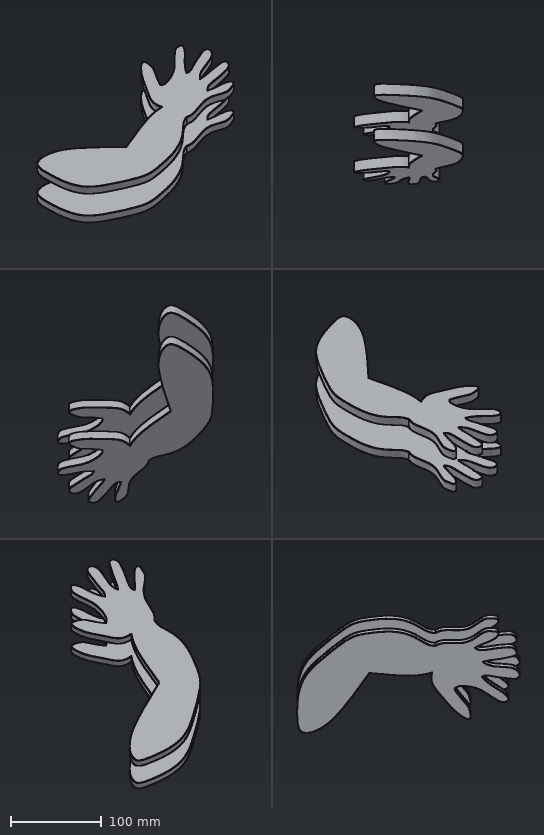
import cadquery as cq

LENGTH = 237.2
WIDTH = 152.7
PLATE_THICKNESS = 12.8
PLATE_PITCH = 50.8
PLATE_COUNT = 2
EDGE_CHAMFER = 0.5

ELBOW = (80.5, 73.3)
INNER_WRIST = (93.0, 140.6)
OUTER_WRIST = (124.5, 139.0)

THUMB_WEB = (79.2, 169.0)
INDEX_WEB = (98.7, 196.5)
MIDDLE_WEB = (115.5, 195.0)
RING_WEB = (130.0, 183.3)

FOREARM_INNER = [ELBOW, (81.8, 90.1), (83.7, 108.0), (86.8, 124.5), INNER_WRIST]

THUMB = [
    INNER_WRIST, (86.5, 141.3), (81.0, 143.2), (74.7, 148.5), (65.2, 159.8), (55.5, 171.5),
    (49.3, 182.5), (47.7, 188.3), (48.1, 191.2), (50.8, 192.0), (55.5, 191.0),
    (61.2, 188.0), (69.0, 179.8), (76.4, 171.7), THUMB_WEB,
]

INDEX_FINGER = [
    THUMB_WEB, (81.8, 171.2), (84.0, 177.0), (84.2, 192.0), (82.8, 198.3), (78.3, 208.5),
    (74.5, 218.2), (73.5, 224.0), (77.8, 230.0), (83.2, 225.3), (87.5, 216.5),
    (92.3, 205.9), (96.0, 199.7), INDEX_WEB,
]

MIDDLE_FINGER = [
    INDEX_WEB, (100.3, 199.7), (100.8, 208.2), (101.5, 226.5), (102.7, 233.8), (106.7, LENGTH),
    (112.7, 233.4), (114.5, 226.5), (113.8, 216.8), (113.0, 207.5), (113.5, 199.7), MIDDLE_WEB,
]

RING_FINGER = [
    MIDDLE_WEB, (117.5, 198.7), (121.2, 210.0), (125.7, 221.7), (131.5, 229.3), (136.5, 225.8),
    (136.8, 216.8), (133.8, 205.9), (130.0, 195.2), (128.5, 187.4), RING_WEB,
]

LITTLE_FINGER = [
    RING_WEB, (135.5, 190.5), (141.8, 200.0), (146.0, 204.2), (150.1, 205.5), (152.3, 204.0),
    (152.5, 200.2), (150.8, 191.6), (143.2, 182.5), (137.5, 176.5), (133.3, 168.1),
    (131.0, 156.3), (128.5, 145.5), OUTER_WRIST,
]

UPPER_ARM = [
    OUTER_WRIST, (124.7, 130.5), (128.5, 119.8), (131.9, 108.0), (132.5, 94.9), (130.5, 80.2),
    (126.2, 65.2), (119.3, 48.9), (107.7, 35.5), (90.0, 20.5), (74.0, 8.8), (61.2, 2.5),
    (42.7, 0.0), (15.5, 3.5), (6.0, 6.5), (0.7, 10.7), (0.2, 16.5), (6.0, 28.7),
    (20.9, 43.0), (32.5, 50.0), (51.7, 60.0), ELBOW,
]

STRETCHES = [
    FOREARM_INNER,
    THUMB,
    INDEX_FINGER,
    MIDDLE_FINGER,
    RING_FINGER,
    LITTLE_FINGER,
    UPPER_ARM,
]


def arm_plate(bottom):
    """Arm-shaped plate with an open hand, bevelled on both rims, resting at the given height."""
    outline = cq.Workplane("XY").workplane(offset=bottom)
    outline = outline.center(-WIDTH / 2, -LENGTH / 2).moveTo(*ELBOW)
    for stretch in STRETCHES:
        outline = outline.spline(stretch[1:], includeCurrent=True)
    plate = outline.close().extrude(PLATE_THICKNESS)
    return plate.faces("<Z or >Z").edges().chamfer(EDGE_CHAMFER)


arm_plates = [arm_plate(index * PLATE_PITCH) for index in range(PLATE_COUNT)]

result = cq.Compound.makeCompound([plate.val() for plate in arm_plates])